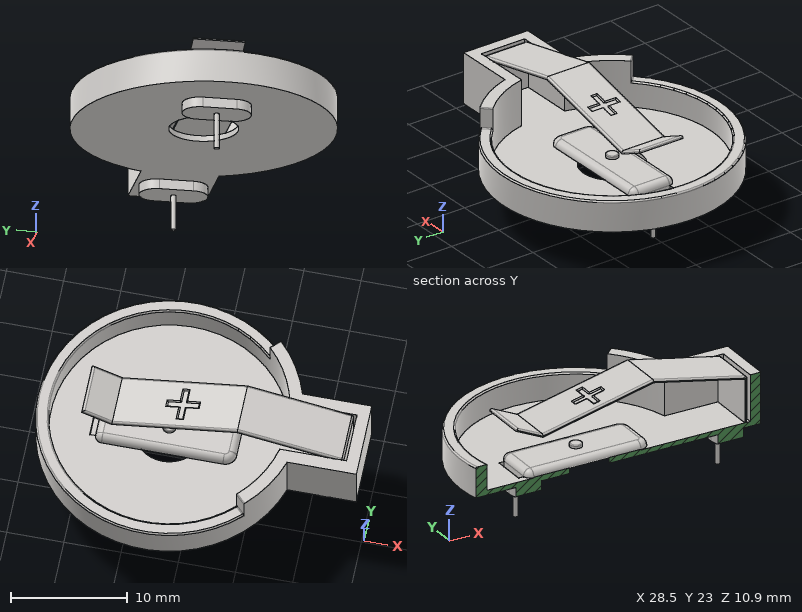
import cadquery as cq
import math

overall_length = 28.5
cup_radius = 11.49
cavity_radius = 10.35
floor_height = 0.5
rim_height = 3.0
rim_round = 0.15
vent_radius = 3.0

shoulder_height = 5.0
shoulder_half_angle = 45.0
shoulder_round = 0.09
block_end = overall_length - cup_radius
block_width = 6.8
channel_end = 15.93

pin_spacing = 20.0
front_pin_x = -5.98
pin_xs = (front_pin_x, front_pin_x + pin_spacing)
foot_length = 5.98
foot_width = 3.02
foot_drop = 0.88
pin_radius = 0.23
pin_drop = 4.02

pad_half_length = 6.13
pad_thickness = 0.68
pad_round = 0.65
pad_rear_corner = 1.0
button_radius = 0.57
button_height = 0.3
button_round = 0.09
relief_start = -6.65
relief_width = 3.33

spring_width = 4.55
spring_thickness = 0.28
spring_round = 0.17
tip_x, tip_z = -7.1, 5.65
valley_x, valley_z = -4.55, 4.45
peak_x, peak_z = 6.38, 6.9
leg_x, leg_z = 15.68, 4.75
leg_bevel = 0.17

plus_x = 1.2
plus_length = 3.0
plus_width = 0.65
plus_depth = 0.1
plus_draft = 45.0


def box(x_min, x_max, width, z_min, z_max):
    """Box centred on the XZ plane."""
    return (
        cq.Workplane("XY", origin=((x_min + x_max) / 2, 0, z_min))
        .box(x_max - x_min, width, z_max - z_min, centered=(True, True, False))
    )


def make_cup():
    """Round cup with a low rim whose top edges are rounded."""
    cup = cq.Workplane("XY").circle(cup_radius).extrude(rim_height)
    cavity = cq.Workplane("XY", origin=(0, 0, floor_height)).circle(cavity_radius).extrude(rim_height)
    return cup.cut(cavity).faces(">Z").edges().fillet(rim_round)


def make_shoulder():
    """Tall wall sector facing the block, rounded along its two radial top edges."""
    reach = 2 * cup_radius
    half_span = reach * math.tan(math.radians(shoulder_half_angle))
    sector = (
        cq.Workplane("XY")
        .polyline([(0, 0), (reach, -half_span), (reach, half_span)])
        .close()
        .extrude(shoulder_height)
    )
    ring = cq.Workplane("XY").circle(cup_radius).circle(cavity_radius).extrude(shoulder_height)
    return ring.intersect(sector).faces(">Z").edges("%LINE").fillet(shoulder_round)


def make_step_fillets():
    """Concave fillets where the flat of the rim meets the two ends of the shoulder."""
    angle = math.radians(shoulder_half_angle)
    step = cq.Plane(
        origin=(0, 0, rim_height),
        xDir=(-math.sin(angle), math.cos(angle), 0),
        normal=(math.cos(angle), math.sin(angle), 0),
    )
    r = shoulder_round
    arc_middle = r * (1 - math.sqrt(0.5))
    bar = (
        cq.Workplane(step)
        .lineTo(r, 0)
        .threePointArc((arc_middle, arc_middle), (0, r))
        .close()
        .extrude(cup_radius)
    )
    rim_flat = (
        cq.Workplane("XY")
        .circle(cup_radius - rim_round)
        .circle(cavity_radius + rim_round)
        .extrude(shoulder_height)
    )
    fillet = bar.intersect(rim_flat)
    return fillet.union(fillet.mirror("XZ"))


def make_block():
    """Terminal block, kept outside the round cavity."""
    block = box(0, block_end, block_width, 0, shoulder_height)
    return block.cut(cq.Workplane("XY").circle(cavity_radius).extrude(shoulder_height))


def make_terminal(x):
    """Obround foot with a round solder pin."""
    foot = cq.Workplane("XY", origin=(x, 0, 0)).slot2D(foot_length, foot_width, 90).extrude(-foot_drop)
    pin = cq.Workplane("XY", origin=(x, 0, 0)).circle(pin_radius).extrude(-pin_drop)
    return foot.union(pin)


def make_pad():
    """Rounded contact pad with a button; its front part reaches down into the floor relief."""
    top = floor_height + pad_thickness
    pad = (
        box(-pad_half_length, pad_half_length, spring_width, floor_height, top)
        .edges("|Z and <X").fillet(pad_round)
        .edges("|Z and >X").fillet(pad_rear_corner)
        .faces(">Z").edges().fillet(pad_round)
    )
    root = box(-pad_half_length, front_pin_x, relief_width, 0, floor_height)
    button = cq.Workplane("XY", origin=(0, 0, top)).circle(button_radius).extrude(button_height)
    button = button.faces(">Z").edges().fillet(button_round)
    return pad.union(root).union(button)


def make_spring():
    """Bent strip of constant thickness, folded down at the block end to stand on the floor."""
    top = [
        (tip_x, tip_z),
        (valley_x, valley_z),
        (peak_x, peak_z),
        (leg_x - leg_bevel, leg_z + leg_bevel),
        (leg_x, leg_z),
        (leg_x, floor_height),
    ]
    slopes = [math.atan2(z2 - z1, x2 - x1) for (x1, z1), (x2, z2) in zip(top[:-1], top[1:])]

    bottom = []
    for (x, z), before, after in zip(top, slopes[:1] + slopes, slopes + slopes[-1:]):
        middle = (before + after) / 2
        mitre = spring_thickness / math.cos((after - before) / 2)
        bottom.append((x + mitre * math.sin(middle), z - mitre * math.cos(middle)))

    strip = (
        cq.Workplane("XZ")
        .polyline(top + bottom[::-1])
        .close()
        .extrude(spring_width / 2, both=True)
    )
    half = spring_width / 2
    edge_middles = [(tip_x, 0, tip_z)]
    for (x1, z1), (x2, z2) in zip(top[:-1], top[1:]):
        for side in (-half, half):
            edge_middles.append(((x1 + x2) / 2, side, (z1 + z2) / 2))
    upper_edges = [strip.edges(cq.selectors.NearestToPointSelector(point)).val() for point in edge_middles]
    return cq.Workplane(strip.val().fillet(spring_round, upper_edges))


def make_plus():
    """Drafted cross that sinks into the sloping middle of the strip."""
    slope = (peak_z - valley_z) / (peak_x - valley_x)
    origin = (plus_x, 0, valley_z + slope * (plus_x - valley_x))
    plane = cq.Plane(origin=origin, xDir=(1, 0, slope), normal=(-slope, 0, 1))
    arms = cq.Sketch().rect(plus_length, plus_width).rect(plus_width, plus_length).clean()
    return cq.Workplane(plane).placeSketch(arms).extrude(-plus_depth, taper=plus_draft)


body = make_cup().union(make_shoulder()).union(make_step_fillets()).union(make_block())
channel = box(0, channel_end, spring_width, floor_height, shoulder_height)
vent = cq.Workplane("XY").circle(vent_radius).extrude(floor_height)
relief = box(relief_start, front_pin_x, relief_width, 0, floor_height)
body = body.cut(channel).cut(vent).cut(relief)

result = body.union(make_pad()).union(make_spring().cut(make_plus()))
for pin_x in pin_xs:
    result = result.union(make_terminal(pin_x))